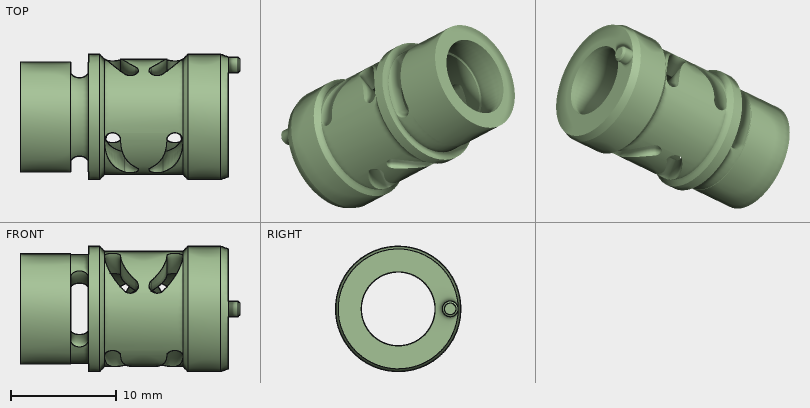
import cadquery as cq
import math

collar_end = 4.75
groove_end = 6.5
flange_end = 8.0
neck_end = 15.475
body_length = 19.8
pin_tip = 20.91

collar_radius = 5.25
groove_radius = 5.2
head_radius = 5.975
neck_radius = 5.5
shoulder_chamfer = head_radius - neck_radius

head_bevel_depth = 0.27
head_bevel_length = 0.75

bore_radius = 3.5
counterbore_radius = 3.75
counterbore_depth = 3.0

pin_radius = 0.75
pin_offset = 4.95
pin_chamfer = 0.2
pin_embed = 1.0

groove_slot_width = 1.65
groove_slot_half_angle = 44.0
groove_slot_count = 2

curved_slot_width = 1.53
curved_slot_turn = 45.0
curved_slot_bend_radius = 5.75
curved_slot_start = 8.775
curved_slot_azimuth = 24.0
curved_slot_pairs = 3

cutter_inner_radius = 2.5
cutter_outer_radius = 6.5


def make_body():
    """Revolved sleeve: collar, groove, flange, neck and head around a stepped bore."""
    profile = (
        cq.Workplane("XY")
        .moveTo(0, counterbore_radius)
        .lineTo(0, collar_radius)
        .lineTo(collar_end, collar_radius)
        .lineTo(collar_end, groove_radius)
        .lineTo(groove_end, groove_radius)
        .lineTo(groove_end, head_radius)
        .lineTo(flange_end - shoulder_chamfer, head_radius)
        .lineTo(flange_end, neck_radius)
        .lineTo(neck_end, neck_radius)
        .lineTo(neck_end + shoulder_chamfer, head_radius)
        .lineTo(body_length - head_bevel_length, head_radius)
        .lineTo(body_length, head_radius - head_bevel_depth)
        .lineTo(body_length, bore_radius)
        .lineTo(counterbore_depth, bore_radius)
        .lineTo(counterbore_depth, counterbore_radius)
        .close()
    )
    return profile.revolve(360, (0, 0, 0), (1, 0, 0))


def make_pin():
    """Chamfered pin parallel to the axis, rooted inside the head."""
    return (
        cq.Workplane("YZ", origin=(body_length - pin_embed, pin_offset, 0))
        .circle(pin_radius)
        .extrude(pin_tip - body_length + pin_embed)
        .faces(">X")
        .chamfer(pin_chamfer)
    )


def radial_cutter(flat_outline, surface_radius):
    """Wrap an outline around the X axis and thicken it into a cutter with radial walls.

    The outline's first coordinate is arc length on a cylinder of surface_radius,
    counted from +Z towards -Y; its second coordinate is the position along X.
    """
    arc_to_angle = cq.Matrix([
        [1 / surface_radius, 0, 0, 0],
        [0, 1, 0, 0],
        [0, 0, 1, 0],
    ])
    outline_wire = flat_outline.val()
    angular_face = cq.Face.makeFromWires(outline_wire).transformGeometry(arc_to_angle)
    cylinder = cq.Solid.makeCylinder(
        cutter_inner_radius, body_length, cq.Vector(0, 0, 0), cq.Vector(1, 0, 0)
    )
    wall = cylinder.faces("%CYLINDER")
    patch = cq.occ_impl.shapes.faceOn(wall, angular_face)
    return cq.Workplane(patch.thicken(cutter_outer_radius - cutter_inner_radius))


def make_groove_slot():
    """Round-ended slot along the groove, centred on -Y."""
    middle = groove_radius * math.pi / 2
    length = 2 * groove_radius * math.radians(groove_slot_half_angle)
    outline = (
        cq.Workplane("XY")
        .center(middle, (collar_end + groove_end) / 2)
        .slot2D(length, groove_slot_width)
    )
    return radial_cutter(outline, groove_radius)


def make_curved_slot():
    """Slot whose centreline leaves the flange circumferentially and bends towards mid-neck."""
    start = neck_radius * math.radians(curved_slot_azimuth)
    bend_centre = curved_slot_start + curved_slot_bend_radius
    half_width = curved_slot_width / 2

    def bend_point(offset, turn):
        distance = curved_slot_bend_radius + offset
        angle = math.radians(turn)
        return (start + distance * math.sin(angle), bend_centre - distance * math.cos(angle))

    def cap_point(turn, direction):
        x, y = bend_point(0, turn)
        angle = math.radians(turn)
        reach = direction * half_width
        return (x + reach * math.cos(angle), y + reach * math.sin(angle))

    outline = (
        cq.Workplane("XY")
        .moveTo(*bend_point(half_width, 0))
        .threePointArc(
            bend_point(half_width, curved_slot_turn / 2),
            bend_point(half_width, curved_slot_turn),
        )
        .threePointArc(cap_point(curved_slot_turn, 1), bend_point(-half_width, curved_slot_turn))
        .threePointArc(bend_point(-half_width, curved_slot_turn / 2), bend_point(-half_width, 0))
        .threePointArc(cap_point(0, -1), bend_point(half_width, 0))
        .close()
    )
    return radial_cutter(outline, neck_radius)


result = make_body().union(make_pin())

groove_slot = make_groove_slot()
for index in range(groove_slot_count):
    rotation = index * 360 / groove_slot_count
    result = result.cut(groove_slot.rotate((0, 0, 0), (1, 0, 0), rotation))

flange_side_slot = make_curved_slot()
neck_middle = (flange_end + neck_end) / 2
head_side_slot = flange_side_slot.mirror("YZ", (neck_middle, 0, 0))
for index in range(curved_slot_pairs):
    rotation = index * 360 / curved_slot_pairs
    for slot in (flange_side_slot, head_side_slot):
        result = result.cut(slot.rotate((0, 0, 0), (1, 0, 0), rotation))